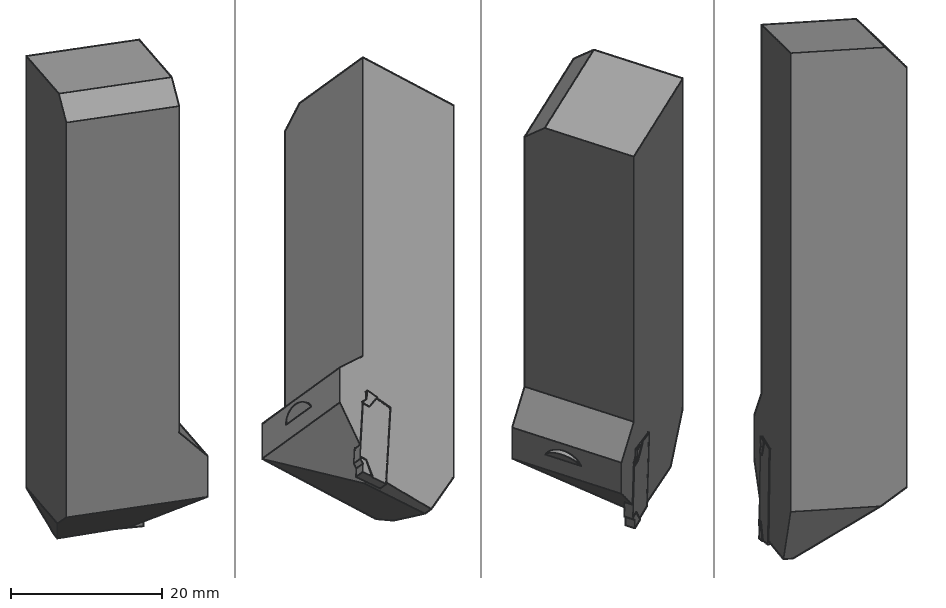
import cadquery as cq
import math

TOTAL_HEIGHT = 69.85
SHANK_SIZE = 15.8
TOP_CHAMFER = 2.9
HEAD_OFFSET = 4.0
HEAD_TOP = 15.8
HEAD_BOTTOM = 9.9
HEAD_RELIEF_ANGLE = 33.2
FRONT_RELIEF_WIDTH = 3.9
FRONT_RELIEF_TOP = 7.55
NOSE_LOW = 0.15
SIDE_RELIEF_ANGLE = 34.0
SIDE_RELIEF_TOP = 9.9

TILT = 3.3
TIP_SPAN = 14.1
TIP_WIDTH = 4.2
RAKE_WIDTH = 4.7
END_RELIEF_ANGLE = 6.0
GROOVE_FLAT = 1.5
GROOVE_RAMP = 0.55
TIP_Z = TIP_SPAN / 2
RAMP_START = TIP_Z - GROOVE_FLAT
RAMP_END = RAMP_START - GROOVE_RAMP
INSERT_PROUD = 0.15
TIP_PROUD = 0.3
SEAT_DEPTH = 1.1
INSERT_BACK = 11.45
TIP_PAD_LENGTH = 2.45
TIP_PAD_WIDTH = 1.75
TIP_PAD_INNER_PROUD = 0.2
TIP_PAD_INNER_WIDTH = 0.55

SCREW_RADIUS = 2.8
SCREW_TILT = 19.0
SCREW_X = 8.4
SCREW_RIM_Y = 20.3
SCREW_RIM_Z = 14.3
SCREW_LENGTH = 2.8


def tan(angle):
    return math.tan(math.radians(angle))


def sin(angle):
    return math.sin(math.radians(angle))


def cos(angle):
    return math.cos(math.radians(angle))


def make_blank():
    """Side outline in the YZ plane, extruded over the shank width."""
    head_y = SHANK_SIZE + HEAD_OFFSET
    relief_run = tan(HEAD_RELIEF_ANGLE)
    nose_slope = tan(TILT)
    nose_y = (head_y - relief_run * (HEAD_BOTTOM - NOSE_LOW + nose_slope * FRONT_RELIEF_WIDTH)) / (
        1 - relief_run * nose_slope
    )
    nose_z = NOSE_LOW + nose_slope * (nose_y - FRONT_RELIEF_WIDTH)
    outline = [
        (0, TOTAL_HEIGHT),
        (SHANK_SIZE, TOTAL_HEIGHT),
        (SHANK_SIZE, HEAD_TOP + HEAD_OFFSET),
        (head_y, HEAD_TOP),
        (head_y, HEAD_BOTTOM),
        (nose_y, nose_z),
        (FRONT_RELIEF_WIDTH, NOSE_LOW),
        (0, FRONT_RELIEF_TOP),
    ]
    return cq.Workplane("YZ").polyline(outline).close().extrude(SHANK_SIZE)


def make_x_limits():
    """Front outline in the XZ plane: top chamfer and the relief under the +X side."""
    relief_end_x = SHANK_SIZE - SIDE_RELIEF_TOP / tan(SIDE_RELIEF_ANGLE)
    outline = [
        (0, 0),
        (relief_end_x, 0),
        (SHANK_SIZE, SIDE_RELIEF_TOP),
        (SHANK_SIZE, TOTAL_HEIGHT - TOP_CHAMFER),
        (SHANK_SIZE - TOP_CHAMFER, TOTAL_HEIGHT),
        (0, TOTAL_HEIGHT),
    ]
    return cq.Workplane("XZ").polyline(outline).close().extrude(-(SHANK_SIZE + HEAD_OFFSET))


def make_screw_end():
    """Tilted cylinder whose rim just breaks out of the +Y face of the head."""
    face_y = SCREW_RIM_Y - SCREW_RADIUS * sin(SCREW_TILT)
    face_z = SCREW_RIM_Z - SCREW_RADIUS * cos(SCREW_TILT)
    face_centre = cq.Vector(SCREW_X, face_y, face_z)
    inward = cq.Vector(0, -cos(SCREW_TILT), sin(SCREW_TILT))
    return cq.Workplane(cq.Solid.makeCylinder(SCREW_RADIUS, SCREW_LENGTH, face_centre, inward))


def end_height(width):
    """Half length of the insert at a given distance from its back face."""
    return TIP_Z - (TIP_WIDTH - width) * tan(END_RELIEF_ANGLE)


def make_tip_pad():
    """Pad at the upper tip, stepped above the side face and ramping up to the cutting edge."""
    inner_z = TIP_Z - TIP_PAD_LENGTH
    pad_edge = TIP_WIDTH - TIP_PAD_WIDTH
    outline = [
        (TIP_WIDTH, TIP_Z),
        (pad_edge, end_height(pad_edge)),
        (TIP_WIDTH - TIP_PAD_INNER_WIDTH, inner_z),
        (RAKE_WIDTH, inner_z),
        (RAKE_WIDTH, RAMP_END),
        (TIP_WIDTH, RAMP_START),
    ]
    pad = cq.Workplane("YZ").workplane(offset=-TIP_PROUD).polyline(outline).close().extrude(TIP_PROUD)
    ramp = (
        cq.Workplane("XZ")
        .polyline([(0, inner_z), (-TIP_PAD_INNER_PROUD, inner_z), (-TIP_PROUD, TIP_Z), (0, TIP_Z)])
        .close()
        .extrude(-RAKE_WIDTH)
    )
    return pad.intersect(ramp)


def make_insert():
    upper = [
        (0, end_height(0)),
        (TIP_WIDTH, TIP_Z),
        (TIP_WIDTH, RAMP_START),
        (RAKE_WIDTH, RAMP_END),
    ]
    lower = [(y, -z) for y, z in reversed(upper)]
    bar = (
        cq.Workplane("YZ")
        .workplane(offset=-INSERT_PROUD)
        .polyline(upper + lower)
        .close()
        .extrude(INSERT_PROUD + SEAT_DEPTH)
    )
    pad = make_tip_pad()
    bar = bar.union(pad).union(pad.mirror("XY"))
    mid_z = TIP_Z * cos(TILT) - TIP_WIDTH * sin(TILT)
    return bar.rotate((0, 0, 0), (1, 0, 0), TILT).translate((0, INSERT_BACK, mid_z))


insert = make_insert()
holder = make_blank().intersect(make_x_limits()).union(make_screw_end()).cut(insert)

result = cq.Compound.makeCompound([holder.solids().val(), insert.solids().val()])